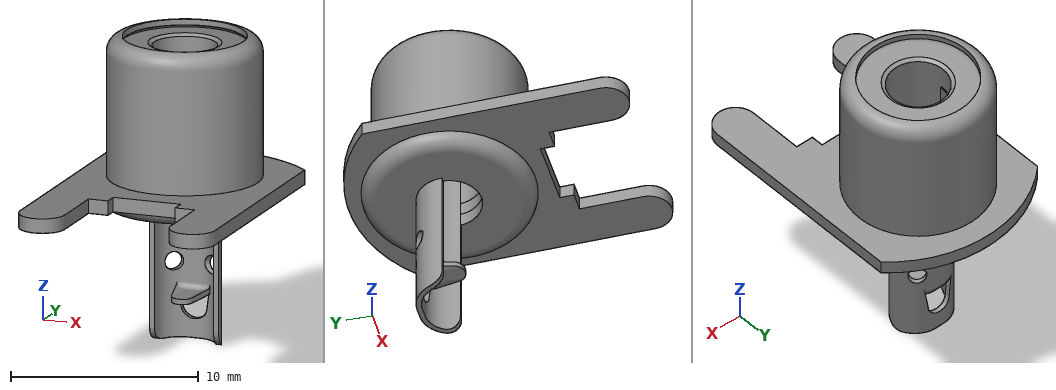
import cadquery as cq
import math


total_height = 17.02
shell_height = 7.7
plate_thickness = 0.8
washer_thickness = 0.8
washer_bottom = -plate_thickness - washer_thickness
terminal_bottom = shell_height - total_height

shell_diameter = 8.35
shell_radius = shell_diameter / 2
shell_wall = 0.32
shell_fillet = 0.85
mouth_radius = shell_radius - shell_fillet

insulator_radius = shell_radius - shell_wall
insulator_height = 7.32
insulator_fillet = 0.78
bore_radius = 1.75
bore_chamfer_width = 0.22
bore_chamfer_depth = 0.14

plate_half_width = 5.57
plate_back = 5.55
plate_corner_y = 3.3
plate_front = -11.08
leg_width = 2.54
leg_radius = leg_width / 2
leg_inner_x = plate_half_width - leg_width
gap_y = -6.33
notch_half_width = 1.92
notch_y = -5.55

washer_radius = 4.71

terminal_top = 5.8
terminal_wall = 0.29
terminal_half_width = 1.97
web_half_width = 0.4
arc_center_x = 0.25
terminal_lip = 0.12
tip_radius = 0.85

hole_diameter = 1.0
hole_z = -5.12
hole_angle = 43.0

tongue_underside = -6.91
tongue_tip_y = -0.87
tongue_root_half_width = 0.94
tongue_end_half_width = 0.61
tongue_taper_end_y = -0.34
bend_radius = 0.32
window_bottom = -8.27
window_end_radius = 0.75

outer_arc_radius = terminal_half_width - arc_center_x
inner_arc_radius = outer_arc_radius - terminal_wall
web_inner_y = math.sqrt(inner_arc_radius**2 - (web_half_width - arc_center_x) ** 2)
bend_y = web_inner_y - bend_radius
bend_z = tongue_underside + terminal_wall + bend_radius


def make_shell():
    """Cup with a rounded shoulder, an even wall and a round mouth."""
    cup = cq.Workplane("XY").circle(shell_radius).extrude(shell_height)
    cup = cup.faces(">Z").edges().fillet(shell_fillet)
    cavity = cq.Workplane("XY").circle(shell_radius - shell_wall).extrude(shell_height - shell_wall)
    cavity = cavity.faces(">Z").edges().fillet(shell_fillet - shell_wall)
    mouth = cq.Workplane("XY").circle(mouth_radius).extrude(shell_height)
    return cup.cut(cavity).cut(mouth)


def make_insulator(terminal):
    """Plug inside the shell, bored and recessed for the terminal."""
    plug = cq.Workplane("XY").circle(insulator_radius).extrude(insulator_height)
    plug = plug.faces(">Z").edges().fillet(insulator_fillet)
    bore = (
        cq.Workplane("XZ")
        .lineTo(bore_radius, 0)
        .lineTo(bore_radius, insulator_height - bore_chamfer_depth)
        .lineTo(bore_radius + bore_chamfer_width, insulator_height)
        .lineTo(0, insulator_height)
        .close()
        .revolve(360, (0, 0, 0), (0, 1, 0))
    )
    return plug.cut(bore).cut(terminal)


def make_plate(terminal):
    """Flat plate with a bowed back edge and two round-ended legs."""
    leg_round_y = plate_front + leg_radius
    leg_center_x = plate_half_width - leg_radius
    outline = (
        cq.Workplane("XY")
        .moveTo(-plate_half_width, plate_corner_y)
        .threePointArc((0, plate_back), (plate_half_width, plate_corner_y))
        .lineTo(plate_half_width, leg_round_y)
        .threePointArc((leg_center_x, plate_front), (leg_inner_x, leg_round_y))
        .lineTo(leg_inner_x, gap_y)
        .lineTo(notch_half_width, gap_y)
        .lineTo(notch_half_width, notch_y)
        .lineTo(-notch_half_width, notch_y)
        .lineTo(-notch_half_width, gap_y)
        .lineTo(-leg_inner_x, gap_y)
        .lineTo(-leg_inner_x, leg_round_y)
        .threePointArc((-leg_center_x, plate_front), (-plate_half_width, leg_round_y))
        .close()
    )
    plate = outline.extrude(-plate_thickness)
    bore = cq.Workplane("XY").circle(bore_radius).extrude(-plate_thickness)
    return plate.cut(bore).cut(terminal)


def make_washer(terminal):
    """Washer under the plate whose outer edge is a full-height quarter round."""
    flat_radius = washer_radius - washer_thickness
    round_middle = washer_thickness * math.sqrt(0.5)
    washer = (
        cq.Workplane("XZ")
        .moveTo(bore_radius, -plate_thickness)
        .lineTo(washer_radius, -plate_thickness)
        .threePointArc(
            (flat_radius + round_middle, -plate_thickness - round_middle),
            (flat_radius, washer_bottom),
        )
        .lineTo(bore_radius, washer_bottom)
        .close()
        .revolve(360, (0, 0, 0), (0, 1, 0))
    )
    return washer.cut(terminal)


def arc_point(radius, x):
    """Point at x on the right-hand side arc of the given radius."""
    return (x, math.sqrt(radius**2 - (x - arc_center_x) ** 2))


def mirrored(point):
    """The point on the opposite side of the YZ plane."""
    return (-point[0], point[1])


def terminal_profile():
    """Open-fronted cross-section of the terminal, at its lower end."""
    inner_half_width = terminal_half_width - terminal_wall
    diagonal = math.sqrt(0.5)
    outer_web = arc_point(outer_arc_radius, web_half_width)
    inner_web = arc_point(inner_arc_radius, web_half_width)
    outer_mid = arc_point(outer_arc_radius, arc_center_x + outer_arc_radius * diagonal)
    inner_mid = arc_point(inner_arc_radius, arc_center_x + inner_arc_radius * diagonal)
    return (
        cq.Workplane("XY", origin=(0, 0, terminal_bottom))
        .moveTo(terminal_half_width, -terminal_lip)
        .lineTo(terminal_half_width, 0)
        .threePointArc(outer_mid, outer_web)
        .lineTo(*mirrored(outer_web))
        .threePointArc(mirrored(outer_mid), (-terminal_half_width, 0))
        .lineTo(-terminal_half_width, -terminal_lip)
        .lineTo(-inner_half_width, -terminal_lip)
        .lineTo(-inner_half_width, 0)
        .threePointArc(mirrored(inner_mid), mirrored(inner_web))
        .lineTo(*inner_web)
        .threePointArc(inner_mid, (inner_half_width, 0))
        .lineTo(inner_half_width, -terminal_lip)
        .close()
    )


def strip_profile():
    """Middle stretch of the terminal's cross-section, as wide as the tongue's root."""
    middle_x = (web_half_width + tongue_root_half_width) / 2
    outer_web = arc_point(outer_arc_radius, web_half_width)
    inner_web = arc_point(inner_arc_radius, web_half_width)
    outer_mid = arc_point(outer_arc_radius, middle_x)
    inner_mid = arc_point(inner_arc_radius, middle_x)
    outer_edge = arc_point(outer_arc_radius, tongue_root_half_width)
    inner_edge = arc_point(inner_arc_radius, tongue_root_half_width)
    return (
        cq.Workplane("XY", origin=(0, 0, bend_z))
        .moveTo(*outer_edge)
        .threePointArc(outer_mid, outer_web)
        .lineTo(*mirrored(outer_web))
        .threePointArc(mirrored(outer_mid), mirrored(outer_edge))
        .lineTo(*mirrored(inner_edge))
        .threePointArc(mirrored(inner_mid), mirrored(inner_web))
        .lineTo(*inner_web)
        .threePointArc(inner_mid, inner_edge)
        .close()
    )


def make_tongue():
    """Strip of the terminal wall bent a quarter turn toward -Y, with a tapered, rounded end."""
    bend = strip_profile().revolve(90, (0, bend_y, 0), (-1, bend_y, 0))
    blade = strip_profile().extrude(tongue_tip_y - bend_y)
    blade = blade.rotate((0, bend_y, bend_z), (1, bend_y, bend_z), -90)
    blade_outline = (
        cq.Workplane("XY", origin=(0, 0, terminal_bottom))
        .moveTo(tongue_root_half_width, bend_y)
        .lineTo(tongue_end_half_width, tongue_taper_end_y)
        .threePointArc((0, tongue_tip_y), (-tongue_end_half_width, tongue_taper_end_y))
        .lineTo(-tongue_root_half_width, bend_y)
        .close()
        .extrude(-terminal_bottom)
    )
    return bend.union(blade.intersect(blade_outline))


def make_window():
    """Cutter for the opening that the tongue leaves in the back wall."""
    end_center_z = window_bottom + window_end_radius
    return (
        cq.Workplane("XZ")
        .moveTo(tongue_root_half_width, bend_z)
        .lineTo(window_end_radius, end_center_z)
        .threePointArc((0, window_bottom), (-window_end_radius, end_center_z))
        .lineTo(-tongue_root_half_width, bend_z)
        .close()
        .extrude(-2 * terminal_half_width)
    )


def make_side_hole(side):
    """Cutter for the slanted round hole on the side given by -1 or 1."""
    angle = math.radians(hole_angle)
    direction = (side * math.sin(angle), math.cos(angle), 0)
    axis_plane = cq.Plane(origin=(0, 0, hole_z), xDir=(0, 0, 1), normal=direction)
    return cq.Workplane(axis_plane).circle(hole_diameter / 2).extrude(2 * terminal_half_width)


def make_tip_cutter():
    """Cutter that rounds the lower front corners of the terminal."""
    rounding_y = tip_radius - terminal_lip
    rounding_z = terminal_bottom + tip_radius
    diagonal = tip_radius * math.sqrt(0.5)
    return (
        cq.Workplane("YZ")
        .moveTo(-terminal_lip, rounding_z)
        .threePointArc((rounding_y - diagonal, rounding_z - diagonal), (rounding_y, terminal_bottom))
        .lineTo(-terminal_lip, terminal_bottom)
        .close()
        .extrude(terminal_half_width, both=True)
    )


def make_terminal():
    """Trough-shaped solder terminal with two wire holes and a bent tongue."""
    body = terminal_profile().extrude(terminal_top - terminal_bottom)
    body = body.cut(make_tip_cutter()).cut(make_window())
    for side in (-1, 1):
        body = body.cut(make_side_hole(side))
    return body.union(make_tongue())


terminal = make_terminal()
shell = make_shell()
insulator = make_insulator(terminal)
plate = make_plate(terminal)
washer = make_washer(terminal)

result = cq.Compound.makeCompound(
    [shell.val(), insulator.val(), plate.val(), washer.val(), terminal.val()]
)